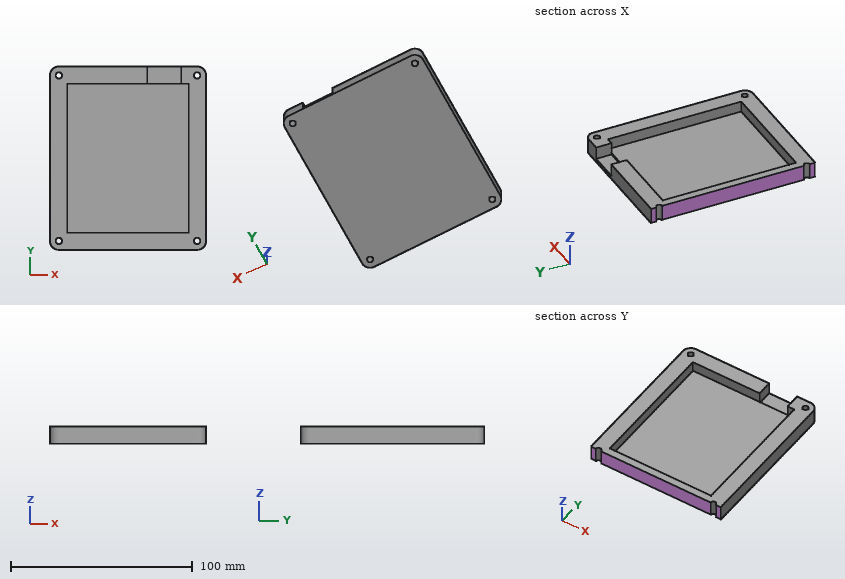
import cadquery as cq

length_x = 86.0
length_y = 101.0
height = 9.6
corner_radius = 5.0

rim_width = 9.5
pocket_x = length_x - 2 * rim_width
pocket_y = length_y - 2 * rim_width
floor_thickness = 3.0

notch_width = 18.5
notch_center_x = 19.9
notch_floor = 2.1

hole_diameter = 3.4
hole_spacing_x = length_x - 2 * corner_radius
hole_spacing_y = length_y - 2 * corner_radius


def make_block():
    """Plate with rounded vertical corners."""
    block = cq.Workplane("XY").box(length_x, length_y, height, centered=(True, True, False))
    return block.edges("|Z").fillet(corner_radius)


def make_pocket():
    """Volume removed above the floor."""
    pocket_depth = height - floor_thickness
    pocket = cq.Workplane("XY").workplane(offset=floor_thickness)
    return pocket.rect(pocket_x, pocket_y).extrude(pocket_depth)


def make_notch():
    """Volume removed from the +Y rim, between the pocket and the outer face."""
    notch_center_y = (length_y - rim_width) / 2
    notch = cq.Workplane("XY").workplane(offset=notch_floor).center(notch_center_x, notch_center_y)
    return notch.rect(notch_width, rim_width).extrude(height - notch_floor)


def make_screw_holes():
    """Four through holes, one in each corner."""
    corners = cq.Workplane("XY").rect(hole_spacing_x, hole_spacing_y, forConstruction=True)
    return corners.vertices().circle(hole_diameter / 2).extrude(height)


result = make_block().cut(make_pocket()).cut(make_notch()).cut(make_screw_holes())